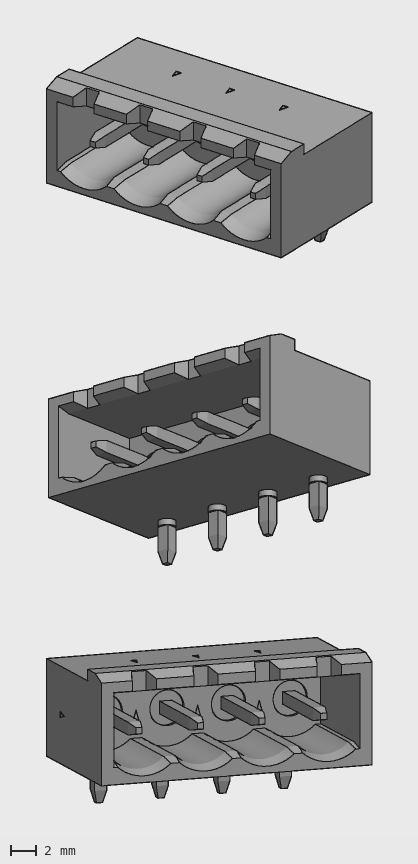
import cadquery as cq
import math

POLE_COUNT = 4
PITCH = 5.08
POLE_XS = [(i - (POLE_COUNT - 1) / 2) * PITCH for i in range(POLE_COUNT)]
GAP_XS = [x + PITCH / 2 for x in POLE_XS[:-1]]

END_MARGIN = 3.54
LENGTH = (POLE_COUNT - 1) * PITCH + 2 * END_MARGIN
DEPTH = 12.0
HEIGHT = 8.6
REAR_HEIGHT = 7.7
LIP_DEPTH = 3.0
LIP_CHAMFER_DEPTH = 1.37
LIP_CHAMFER_DROP = 0.5

END_WALL = 1.02
CAVITY_LENGTH = LENGTH - 2 * END_WALL
CAVITY_DEPTH = 8.5
CAVITY_ROOF = 6.98
CAVITY_FLOOR = 1.66
ENTRY_DEPTH = 1.22
ENTRY_FLARE = 0.3
SCALLOP_RADIUS = 3.02

NOTCH_MOUTH_WIDTH = 2.0
NOTCH_BACK_WIDTH = 1.22

PIN_WIDTH = 1.0
PIN_TIP_WIDTH = 0.5
PIN_TAPER = 1.0
PIN_Z = 3.86
PIN_TIP_Y = 1.2
TAIL_Y = 10.0
TAIL_LENGTH = 3.5
POST_RADIUS = 0.71
COLLAR_HEIGHT = 0.5

SEAT_RADIUS = 1.41
SEAT_DEPTH = 0.3
SEAT_FLAT_OFFSET = 0.71

ARROW_LENGTH = 0.8
ARROW_WIDTH = 0.45
ARROW_ENGRAVING = 0.05
ARROW_BASE_Y = 9.0


def housing_block():
    """Outer block with the raised, chamfered lip above the mating face."""
    profile = [
        (0, 0),
        (DEPTH, 0),
        (DEPTH, REAR_HEIGHT),
        (LIP_DEPTH, REAR_HEIGHT),
        (LIP_DEPTH, HEIGHT),
        (LIP_CHAMFER_DEPTH, HEIGHT),
        (0, HEIGHT - LIP_CHAMFER_DROP),
    ]
    return cq.Workplane("YZ").polyline(profile).close().extrude(LENGTH / 2, both=True)


def cavity_outline(y, flare):
    """Cavity cross-section at depth y; roof, floor and scallops grow by flare, the end walls do not."""
    half_length = CAVITY_LENGTH / 2
    floor = CAVITY_FLOOR - flare
    roof = CAVITY_ROOF + flare
    radius = SCALLOP_RADIUS + flare
    half_chord = math.sqrt(radius**2 - (PIN_Z - floor) ** 2)
    outline = cq.Workplane("XZ", origin=(0, y, 0)).moveTo(-half_length, roof).lineTo(-half_length, floor)
    for x in POLE_XS:
        outline = outline.lineTo(x - half_chord, floor)
        outline = outline.threePointArc((x, PIN_Z - radius), (x + half_chord, floor))
    return outline.lineTo(half_length, floor).lineTo(half_length, roof).close()


def cavity():
    """Straight cavity with a flared entry."""
    straight = cavity_outline(0, 0).extrude(-CAVITY_DEPTH)
    mouth = cavity_outline(0, ENTRY_FLARE).wires().val()
    throat = cavity_outline(ENTRY_DEPTH, 0).wires().val()
    return straight.union(cq.Workplane(cq.Solid.makeLoft([mouth, throat], True)))


def keying_notch(x):
    """Notch through the lip, narrowing away from the mating face."""
    outline = [
        (x - NOTCH_MOUTH_WIDTH / 2, 0),
        (x + NOTCH_MOUTH_WIDTH / 2, 0),
        (x + NOTCH_BACK_WIDTH / 2, ENTRY_DEPTH),
        (x - NOTCH_BACK_WIDTH / 2, ENTRY_DEPTH),
    ]
    plane = cq.Workplane("XY", origin=(0, 0, CAVITY_ROOF))
    return plane.polyline(outline).close().extrude(HEIGHT - CAVITY_ROOF)


def seat(x, left_extent=SEAT_RADIUS):
    """Recess around a contact, reaching left_extent to the left of the pole."""
    disc = cq.Workplane("XZ", origin=(x, CAVITY_DEPTH, PIN_Z)).circle(SEAT_RADIUS).extrude(-SEAT_DEPTH)
    kept = cq.Workplane("XY").box(
        left_extent + SEAT_RADIUS, SEAT_DEPTH, 2 * SEAT_RADIUS, centered=(False, False, True)
    )
    return disc.intersect(kept.translate((x - left_extent, CAVITY_DEPTH, PIN_Z)))


def tapered_bar(start, direction, length):
    """Square pin of the given length from start along direction, ending in a tapered tip."""
    plane = cq.Plane(origin=start, xDir=(1, 0, 0), normal=direction)
    shank = cq.Workplane(plane).rect(PIN_WIDTH, PIN_WIDTH).extrude(length - PIN_TAPER)
    tip = (
        cq.Workplane(plane)
        .workplane(offset=length - PIN_TAPER)
        .rect(PIN_WIDTH, PIN_WIDTH)
        .workplane(offset=PIN_TAPER)
        .rect(PIN_TIP_WIDTH, PIN_TIP_WIDTH)
        .loft()
    )
    return shank.union(tip)


def pin(x):
    """Right-angle pin: a contact in the cavity and a solder tail below a round collar."""
    contact = tapered_bar((x, TAIL_Y, PIN_Z), (0, -1, 0), TAIL_Y - PIN_TIP_Y)
    tail = tapered_bar((x, TAIL_Y, PIN_Z), (0, 0, -1), PIN_Z + TAIL_LENGTH)
    return contact.union(tail)


def post(x):
    """Round post around the pin bend, from the collar under the housing up to its rear roof."""
    plane = cq.Workplane("XY", origin=(x, TAIL_Y, -COLLAR_HEIGHT))
    return plane.circle(POST_RADIUS).extrude(REAR_HEIGHT + COLLAR_HEIGHT)


def arrow_mark(origin, x_direction, inward):
    """Triangle to engrave, with the middle of its base at origin and its point along x_direction."""
    plane = cq.Plane(origin=origin, xDir=x_direction, normal=inward)
    outline = [(0, -ARROW_WIDTH / 2), (ARROW_LENGTH, 0), (0, ARROW_WIDTH / 2)]
    return cq.Workplane(plane).polyline(outline).close().extrude(ARROW_ENGRAVING)


housing = housing_block().cut(cavity())
for pole_x in POLE_XS:
    housing = housing.cut(keying_notch(pole_x))
housing = housing.cut(seat(POLE_XS[0], SEAT_FLAT_OFFSET))
for pole_x in POLE_XS[1:]:
    housing = housing.cut(seat(pole_x))
for gap_x in GAP_XS:
    housing = housing.cut(arrow_mark((gap_x, ARROW_BASE_Y, REAR_HEIGHT), (0, -1, 0), (0, 0, -1)))
    housing = housing.cut(arrow_mark((gap_x, CAVITY_DEPTH, PIN_Z - ARROW_LENGTH), (0, 0, 1), (0, 1, 0)))
housing = housing.cut(arrow_mark((-LENGTH / 2, ARROW_BASE_Y, PIN_Z), (0, -1, 0), (1, 0, 0)))

result = housing
for pole_x in POLE_XS:
    result = result.cut(post(pole_x), clean=False)
    result = result.union(post(pole_x), clean=False)
    result = result.union(pin(pole_x), clean=False)